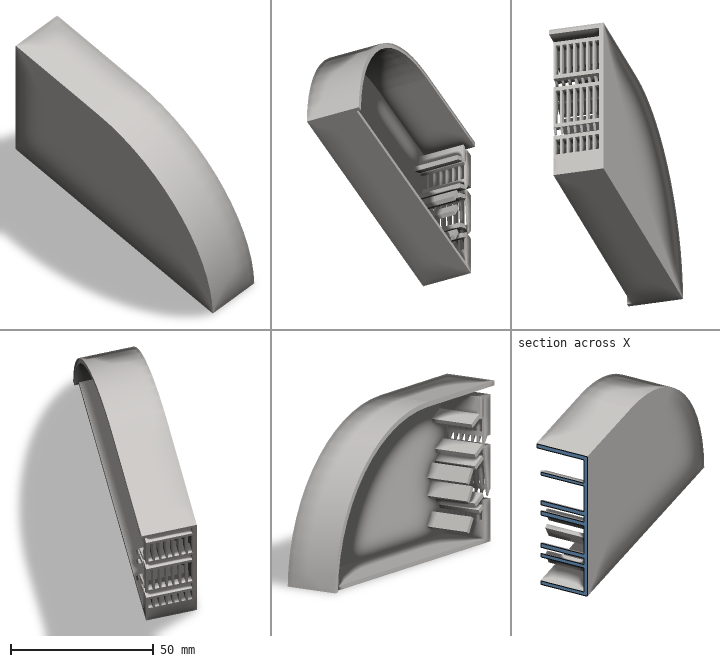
import cadquery as cq
import math

LENGTH = 101.3
DEPTH = 20.0
HEIGHT = 58.0
FLAT_ROOF = 42.2
ARC_RADIUS = LENGTH - FLAT_ROOF
ROOF = 1.8
WALL = 1.6
LID_RECESS = 1.6
INNER_BACK = DEPTH - LID_RECESS

INLET = 3.3
SILL = 1.5
FIN_DEPTH = 4.1
UPPER_BLOCKS = (
    (14.6, 1.9, FIN_DEPTH, INLET),
    (16.1, 0.3, 1.6, 2.2),
)
BOTTOM_SLOT_HEIGHT = 5.9

SLOT_COUNT = 7
SLOT_WIDTH = 1.6
FIN_WIDTH = 0.76
SLOT_PITCH = SLOT_WIDTH + FIN_WIDTH

VANE_THICKNESS = 1.6
VANE_LENGTH = 5.8
SHORT_VANE_LENGTH = 2.9
FRONT_ROW = 5.1
REAR_ROW = 12.2
UPPER_VANE_X = 7.1
SHALLOW = 30
STEEP = 60
VANES = (
    (UPPER_VANE_X, 47.1, SHALLOW, VANE_LENGTH),
    (FRONT_ROW, 36.0, SHALLOW, VANE_LENGTH),
    (FRONT_ROW, 31.7, SHALLOW, VANE_LENGTH),
    (REAR_ROW, 28.6, STEEP, VANE_LENGTH),
    (REAR_ROW, 22.1, STEEP, VANE_LENGTH),
    (FRONT_ROW, 18.3, SHALLOW, VANE_LENGTH),
    (FRONT_ROW, 14.1, SHALLOW, SHORT_VANE_LENGTH),
    (REAR_ROW, 11.0, STEEP, VANE_LENGTH),
)
BAFFLE_X = FRONT_ROW
BAFFLE_BOTTOM = 45.1


def prism(points, y_start, y_end):
    """Closed XZ outline made solid between two Y positions."""
    outline = cq.Workplane("XZ", origin=(0, y_start, 0)).polyline(points).close()
    return outline.extrude(y_start - y_end)


def box(x_start, x_end, y_start, y_end, z_start, z_end):
    size = (x_end - x_start, y_end - y_start, z_end - z_start)
    return cq.Workplane("XY").box(*size, centered=False).translate((x_start, y_start, z_start))


def profile(inset, y_start, y_end):
    """Side outline: flat roof running into a large arc that reaches the base."""
    radius = ARC_RADIUS - inset
    top = HEIGHT - inset
    center_z = HEIGHT - ARC_RADIUS
    end_x = FLAT_ROOF + math.sqrt(radius**2 - center_z**2)
    middle = (
        FLAT_ROOF + radius * math.sin(math.radians(45)),
        center_z + radius * math.cos(math.radians(45)),
    )
    outline = (
        cq.Workplane("XZ", origin=(0, y_start, 0))
        .lineTo(0, top)
        .lineTo(FLAT_ROOF, top)
        .threePointArc(middle, (end_x, 0))
        .close()
    )
    return outline.extrude(y_start - y_end)


def slots(z_start, z_end):
    """Row of vertical slots running the full depth of a front block."""
    row = cq.Workplane("XY")
    for index in range(SLOT_COUNT):
        y = WALL + index * SLOT_PITCH
        row = row.add(box(0, FIN_DEPTH, y, y + SLOT_WIDTH, z_start, z_end))
    return row.combine()


def front_block(top, bottom, lip, tail_depth, tail_drop):
    """Slotted block whose rear fins slope down into the inlet below it."""
    tail = bottom - tail_drop
    points = [(0, bottom), (0, top), (FIN_DEPTH, top), (tail_depth, tail), (lip, bottom)]
    block = prism(points, 0, INNER_BACK)
    block = block.cut(slots(bottom + SILL, top - SILL))
    return block.cut(slots(tail, bottom))


def bottom_block(top):
    slot_top = top - SILL
    block = box(0, FIN_DEPTH, 0, INNER_BACK, 0, top)
    return block.cut(slots(slot_top - BOTTOM_SLOT_HEIGHT, slot_top))


def vane(x, z, slope, length):
    """Flat plate descending rearward from its front top corner."""
    angle = math.radians(slope)
    run = length * math.cos(angle)
    drop = length * math.sin(angle)
    shift = VANE_THICKNESS * math.sin(angle)
    fall = VANE_THICKNESS * math.cos(angle)
    points = [(x, z), (x + run, z - drop), (x + run - shift, z - drop - fall), (x - shift, z - fall)]
    return prism(points, 0, INNER_BACK)


result = profile(0, 0, DEPTH).cut(profile(ROOF, WALL, DEPTH))
floor = box(0, LENGTH, 0, INNER_BACK, 0, WALL).intersect(profile(0, 0, DEPTH))
result = result.union(floor)

block_top = HEIGHT - ROOF - INLET
baffle_top = block_top
for block_height, lip_depth, tail_depth, tail_drop in UPPER_BLOCKS:
    block_bottom = block_top - block_height
    block = front_block(block_top, block_bottom, lip_depth, tail_depth, tail_drop)
    result = result.union(block)
    block_top = block_bottom - INLET
result = result.union(bottom_block(block_top))

result = result.union(box(BAFFLE_X, BAFFLE_X + WALL, 0, INNER_BACK, BAFFLE_BOTTOM, baffle_top))
for placement in VANES:
    result = result.union(vane(*placement))